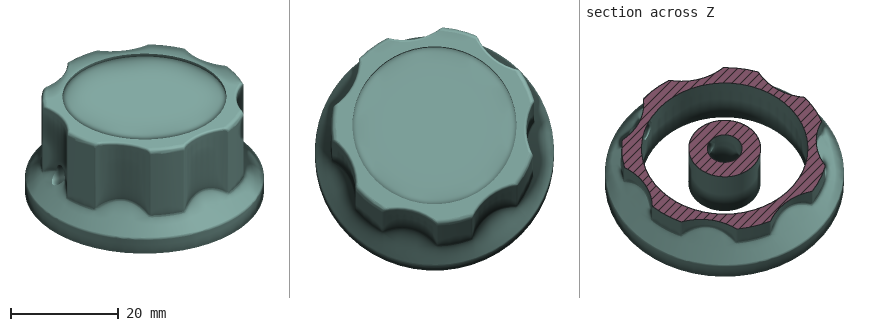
import cadquery as cq

height = 20.62

skirt_diameter = 44.45
rim_height = 3.2
rim_round = 0.55
cone_top_diameter = 26.65

grip_diameter = 38.35
grip_top_round = 0.9
flute_count = 7
flute_diameter = 21.6
flute_root_radius = 17.1
flute_edge_round = 0.5
first_flute_angle = -90.0

recess_diameter = 30.5
recess_depth = 0.62

cavity_diameter = 30.85
cavity_depth = 16.9
bore_diameter = 6.35
bore_depth = 15.1
boss_wall = 3.55

screw_hole_diameter = 3.55
screw_hole_z = 8.25

skirt_radius = skirt_diameter / 2
grip_radius = grip_diameter / 2
flute_radius = flute_diameter / 2
cone_top_radius = cone_top_diameter / 2
cone_top_z = rim_height + skirt_radius - cone_top_radius
boss_diameter = bore_diameter + 2 * boss_wall


def make_skirt():
    profile = (
        cq.Workplane("XZ")
        .lineTo(skirt_radius, 0)
        .lineTo(skirt_radius, rim_height)
        .lineTo(cone_top_radius, cone_top_z)
        .lineTo(0, cone_top_z)
        .close()
    )
    skirt = profile.revolve(360, (0, 0), (0, 1))
    widest = cq.selectors.RadiusNthSelector(-1)
    return skirt.edges("%CIRCLE").edges(widest).edges(">Z").fillet(rim_round)


def make_grip():
    grip = cq.Workplane("XY").circle(grip_radius).extrude(height)
    grip = grip.faces(">Z").edges().fillet(grip_top_round)
    flutes = (
        cq.Workplane("XY")
        .polarArray(flute_root_radius + flute_radius, first_flute_angle, 360, flute_count)
        .circle(flute_radius)
        .extrude(height)
    )
    return grip.cut(flutes)


def bounds_lobe_top_round(edge):
    """True for the arcs where a lobe's top round meets its side and the top face."""
    in_upper_half = edge.Center().z > height / 2
    wider_than_flute = edge.geomType() == "CIRCLE" and edge.radius() > flute_radius + flute_edge_round
    return in_upper_half and wider_than_flute


def round_grip_edges(body):
    """Round every edge of the flutes and the joint between the grip and the cone."""
    grip_zone = cq.selectors.BoxSelector(
        (-skirt_radius, -skirt_radius, rim_height + rim_round),
        (skirt_radius, skirt_radius, 2 * height),
    )
    grip_edges = body.edges(grip_zone).filter(lambda edge: not bounds_lobe_top_round(edge))
    return grip_edges.fillet(flute_edge_round)


def make_recess():
    return (
        cq.Workplane("XY", origin=(0, 0, height - recess_depth))
        .circle(recess_diameter / 2)
        .extrude(recess_depth)
    )


def make_underside_hollow():
    cavity = (
        cq.Workplane("XY")
        .circle(cavity_diameter / 2)
        .circle(boss_diameter / 2)
        .extrude(cavity_depth)
    )
    bore = cq.Workplane("XY").circle(bore_diameter / 2).extrude(bore_depth)
    return cavity.union(bore)


def make_screw_hole():
    return (
        cq.Workplane("XZ", origin=(0, 0, screw_hole_z))
        .circle(screw_hole_diameter / 2)
        .extrude(skirt_radius)
    )


knob = round_grip_edges(make_grip().union(make_skirt()))
result = knob.cut(make_recess()).cut(make_underside_hollow()).cut(make_screw_hole())